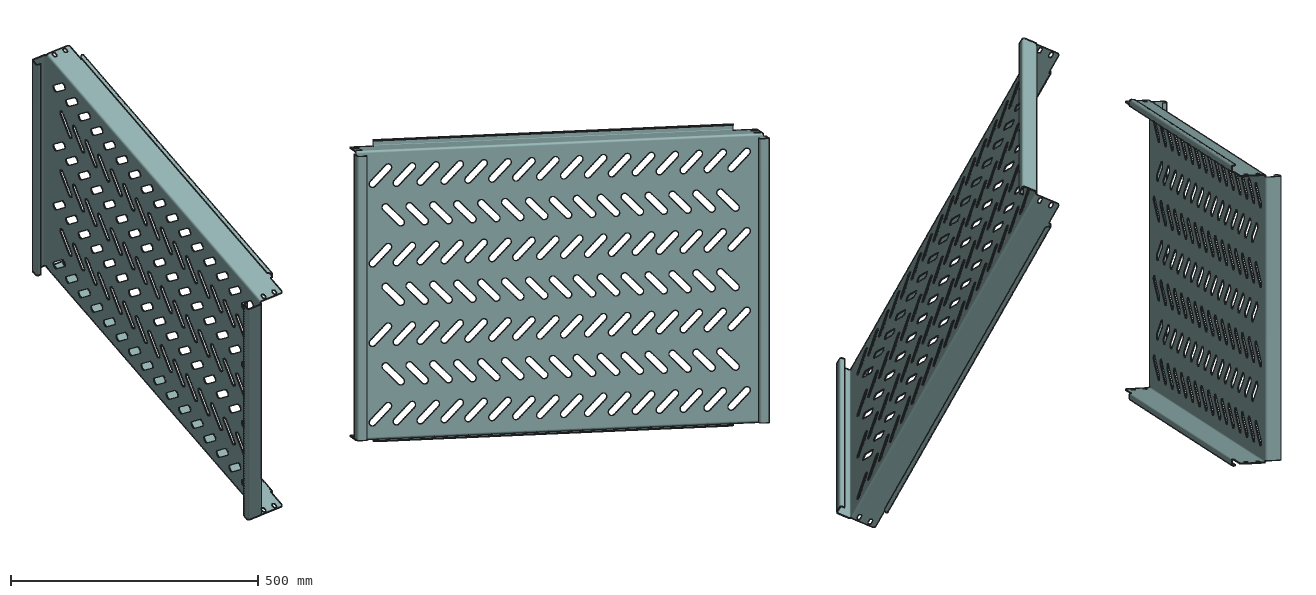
import cadquery as cq

WIDTH = 860.0
DEPTH = 90.0
HEIGHT = 620.0

SHEET = 2.15
INSIDE_BEND = 2.8
HALF_SHEET = SHEET / 2
MID_BEND = INSIDE_BEND + HALF_SHEET
OUTSIDE_BEND = INSIDE_BEND + SHEET

CHANNEL_DEPTH = 33.5
CHANNEL_WIDTH = 21.0
CHANNEL_RETURN = 10.0

HOOK_RISE = 13.0
HOOK_LIP = 10.0
HOOK_LENGTH = 751.0
HOOK_INSIDE_BEND = 1.0
HOOK_CORNER = 5.0
FLANGE_WIDTH = WIDTH - 2 * OUTSIDE_BEND
FLANGE_HEIGHT = HEIGHT - 2 * HOOK_RISE
FLANGE_EDGE_Y = DEPTH - OUTSIDE_BEND
FLANGE_CORNER = 5.0

PANEL_WIDTH = WIDTH - 2 * OUTSIDE_BEND
PANEL_HEIGHT = FLANGE_HEIGHT - 2 * OUTSIDE_BEND
PANEL_BACK_Y = CHANNEL_DEPTH
PANEL_MID_Y = PANEL_BACK_Y - HALF_SHEET

VENT_LENGTH = 60.0
VENT_WIDTH = 15.0
VENT_PITCH = 50.0
VENT_ROW_PITCH = 82.0
VENT_ROWS = 7
VENTS_LONG_ROW = 16
VENT_ANGLE = 45
SHORT_ROW_SHIFT = 2.0

MOUNT_LENGTH = 13.0
MOUNT_WIDTH = 7.0
MOUNT_EDGE_OFFSET = 15.0
MOUNT_BACK_OFFSETS = (20.0, 45.0)


def bent_strip(corners, along, length, first_bend=MID_BEND):
    """Sheet strip following a mid-line of corner points, centred on its length direction.

    The first bend may have its own mid-line radius; the others share MID_BEND.
    """
    path = cq.Wire.makePolygon([cq.Vector(*corner) for corner in corners])
    bend_radius = first_bend
    for corner in corners[1:-1]:
        vertex = path.vertices(cq.NearestToPointSelector(corner))
        path = path.fillet(bend_radius, [vertex])
        bend_radius = MID_BEND
    start = cq.Vector(*corners[0])
    heading = cq.Vector(*corners[1]) - start
    section = cq.Workplane(cq.Plane(start, along, heading)).rect(length, SHEET)
    return section.sweep(cq.Workplane(obj=path))


def side_channel():
    """Right-hand channel: panel edge, side wall, front lip and short return."""
    wall_x = WIDTH / 2 - HALF_SHEET
    return_x = WIDTH / 2 - CHANNEL_WIDTH + HALF_SHEET
    corners = [
        (PANEL_WIDTH / 2 - OUTSIDE_BEND, PANEL_MID_Y, 0),
        (wall_x, PANEL_MID_Y, 0),
        (wall_x, HALF_SHEET, 0),
        (return_x, HALF_SHEET, 0),
        (return_x, CHANNEL_RETURN, 0),
    ]
    return bent_strip(corners, (0, 0, 1), PANEL_HEIGHT)


def flange():
    """Top flange, bent back from the panel, with rounded free corners."""
    flange_z = FLANGE_HEIGHT / 2 - HALF_SHEET
    corners = [
        (0, PANEL_MID_Y, PANEL_HEIGHT / 2 - OUTSIDE_BEND),
        (0, PANEL_MID_Y, flange_z),
        (0, FLANGE_EDGE_Y, flange_z),
    ]
    strip = bent_strip(corners, (1, 0, 0), FLANGE_WIDTH)
    return strip.edges("|Z and >Y").fillet(FLANGE_CORNER)


def hook():
    """Hook on the top flange: bent outward tightly, then forward into a lip."""
    flange_z = FLANGE_HEIGHT / 2 - HALF_SHEET
    lip_z = HEIGHT / 2 - HALF_SHEET
    back_y = DEPTH - HALF_SHEET
    corners = [
        (0, FLANGE_EDGE_Y - OUTSIDE_BEND, flange_z),
        (0, back_y, flange_z),
        (0, back_y, lip_z),
        (0, DEPTH - HOOK_LIP, lip_z),
    ]
    strip = bent_strip(corners, (1, 0, 0), HOOK_LENGTH, HOOK_INSIDE_BEND + HALF_SHEET)
    lip_front = cq.selectors.BoxSelector(
        (-WIDTH, DEPTH - HOOK_LIP - SHEET, HEIGHT / 2 - SHEET),
        (WIDTH, DEPTH - HOOK_LIP + SHEET, HEIGHT / 2),
    )
    return strip.edges("|Z").edges(lip_front).chamfer(HOOK_CORNER)


def vent_cutter(columns, x, z, angle):
    """One row of inclined slots through the panel."""
    return (
        cq.Workplane("XZ", origin=(x, PANEL_BACK_Y + SHEET, z))
        .rarray(VENT_PITCH, 9, columns, 1)
        .slot2D(VENT_LENGTH, VENT_WIDTH, angle)
        .extrude(3 * SHEET)
    )


def mount_cutter():
    """Slots near both flange ends, cut through the top and bottom flanges."""
    x = WIDTH / 2 - MOUNT_EDGE_OFFSET
    places = [(side * x, DEPTH - offset) for side in (-1, 1) for offset in MOUNT_BACK_OFFSETS]
    return (
        cq.Workplane("XY")
        .pushPoints(places)
        .slot2D(MOUNT_LENGTH, MOUNT_WIDTH)
        .extrude(HEIGHT / 2, both=True)
    )


result = cq.Workplane("XY").box(PANEL_WIDTH, SHEET, PANEL_HEIGHT).translate((0, PANEL_MID_Y, 0))

channel = side_channel()
top_edge = flange().union(hook())
result = result.union(channel).union(channel.mirror("YZ"))
result = result.union(top_edge).union(top_edge.mirror("XY"))

for row in range(VENT_ROWS):
    row_z = (row - (VENT_ROWS - 1) / 2) * VENT_ROW_PITCH
    if row % 2 == 0:
        result = result.cut(vent_cutter(VENTS_LONG_ROW, 0, row_z, VENT_ANGLE))
    else:
        result = result.cut(vent_cutter(VENTS_LONG_ROW - 1, SHORT_ROW_SHIFT, row_z, -VENT_ANGLE))

result = result.cut(mount_cutter())